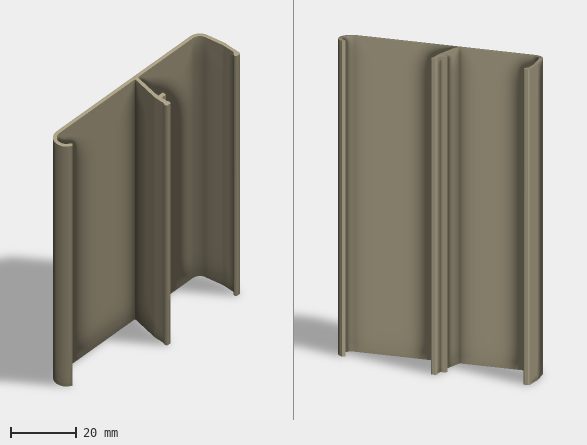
import cadquery as cq
import math

length = 100.0
width = 68.3
depth = 16.5
wall = 1.2
slope = math.radians(10)
top = width / 2
bottom = -width / 2

corner_radius = 4.2
upper_knee_x = 9.5
upper_tip_thickness = 1.1
bead_radius = 0.8
bead_drop = 1.3
web_angle = math.radians(45)
tip_chamfer = 0.3

middle_root_y = top - 29.3
middle_knee_x = 10.1
middle_tip_thickness = 1.4
stub_start_x = 11.4
stub_width = 1.4
stub_height = 1.9
ridge_start_x = 14.9
ridge_height = 0.3

hook_radius = 4.1
hook_end_angle = math.radians(-27)
hook_lip = 0.5
lip_angle = math.radians(45)


def extrude(sketch):
    return sketch.close().extrude(length)


def box(x_start, x_end, y_start, y_end):
    return cq.Workplane("XY").box(
        x_end - x_start, y_end - y_start, length, centered=False
    ).translate((x_start, y_start, 0))


def polar(center, radius, angle):
    return (
        center[0] + radius * math.cos(angle),
        center[1] + radius * math.sin(angle),
    )


slope_start_angle = math.pi / 2 + slope
slope_start_x = corner_radius * (1 - math.sin(slope))
slope_start_y = top - (upper_knee_x - slope_start_x) * math.tan(slope)
corner_center = (corner_radius, slope_start_y - corner_radius * math.cos(slope))
hook_center = (hook_radius, bottom + hook_radius)


def make_front_wall():
    return box(0, wall, hook_center[1], corner_center[1])


def make_upper_arm():
    inner_radius = corner_radius - wall
    mid_angle = (math.pi + slope_start_angle) / 2
    inner_end = polar(corner_center, inner_radius, slope_start_angle)
    inner_y = top - upper_tip_thickness
    inner_knee_x = inner_end[0] + (inner_y - inner_end[1]) / math.tan(slope)
    arm = extrude(
        cq.Workplane("XY")
        .moveTo(0, corner_center[1])
        .threePointArc(
            polar(corner_center, corner_radius, mid_angle),
            polar(corner_center, corner_radius, slope_start_angle),
        )
        .lineTo(upper_knee_x, top)
        .lineTo(depth - tip_chamfer, top)
        .lineTo(depth, top - tip_chamfer)
        .lineTo(depth, inner_y)
        .lineTo(inner_knee_x, inner_y)
        .lineTo(*inner_end)
        .threePointArc(
            polar(corner_center, inner_radius, mid_angle),
            (wall, corner_center[1]),
        )
    )
    bead_x = depth - bead_radius
    bead_center = (bead_x, top - bead_drop)
    bead = (
        cq.Workplane("XY")
        .center(*bead_center)
        .circle(bead_radius)
        .extrude(length)
    )
    bead_back = box(bead_x, depth, top - bead_drop, top - wall / 2)
    web_end = polar(bead_center, bead_radius, -math.pi / 2 - web_angle)
    web_start_x = web_end[0] - (inner_y - web_end[1]) / math.tan(web_angle)
    web = extrude(
        cq.Workplane("XY")
        .moveTo(web_start_x, inner_y)
        .lineTo(*web_end)
        .lineTo(*bead_center)
        .lineTo(bead_x, inner_y)
    )
    return arm.union(bead).union(bead_back).union(web)


def make_middle_arm():
    upper_y = middle_root_y - middle_knee_x * math.tan(slope)
    lower_y = upper_y - middle_tip_thickness
    root_lower_y = middle_root_y - wall / math.cos(slope)
    lower_knee_x = (root_lower_y - lower_y) / math.tan(slope)
    ridge_x = (ridge_start_x + depth) / 2
    root_x = wall / 2
    root_drop = root_x * math.tan(slope)
    arm = extrude(
        cq.Workplane("XY")
        .moveTo(root_x, middle_root_y - root_drop)
        .lineTo(middle_knee_x, upper_y)
        .lineTo(ridge_start_x, upper_y)
        .threePointArc((ridge_x, upper_y + ridge_height), (depth, upper_y))
        .lineTo(depth, lower_y)
        .threePointArc((ridge_x, lower_y - ridge_height), (ridge_start_x, lower_y))
        .lineTo(lower_knee_x, lower_y)
        .lineTo(root_x, root_lower_y - root_drop)
    )
    stub_end_x = stub_start_x + stub_width
    stub = box(stub_start_x, stub_end_x, upper_y - wall, upper_y + stub_height)
    return arm.union(stub)


def make_hook():
    inner_radius = hook_radius - wall
    mid_angle = (hook_end_angle - math.pi) / 2
    outer_end = polar(hook_center, hook_radius, hook_end_angle)
    inner_end = polar(hook_center, inner_radius, hook_end_angle)
    lip_outer = polar(outer_end, hook_lip, lip_angle)
    lip_inner = polar(lip_outer, wall, lip_angle + math.pi / 2)
    return extrude(
        cq.Workplane("XY")
        .moveTo(0, hook_center[1])
        .threePointArc(polar(hook_center, hook_radius, mid_angle), outer_end)
        .lineTo(*lip_outer)
        .lineTo(*lip_inner)
        .lineTo(*inner_end)
        .threePointArc(
            polar(hook_center, inner_radius, mid_angle),
            (wall, hook_center[1]),
        )
    )


result = (
    make_front_wall()
    .union(make_upper_arm())
    .union(make_middle_arm())
    .union(make_hook())
    .translate((-depth / 2, 0, -length / 2))
)